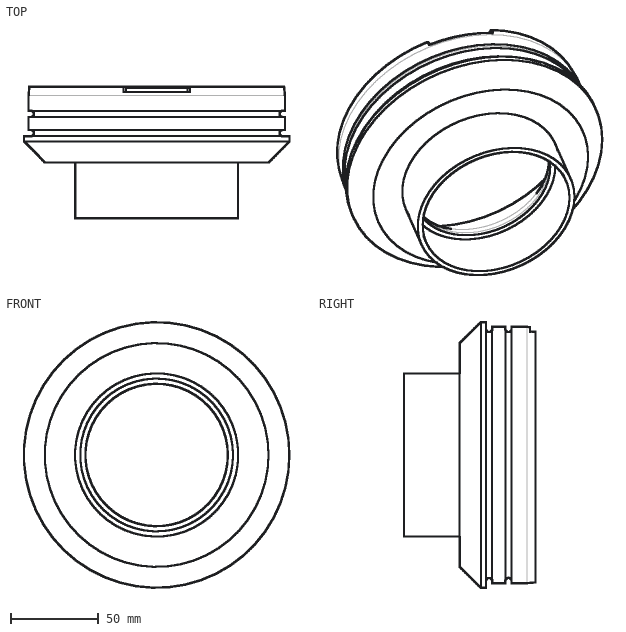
import cadquery as cq
import math

length = 75.0
tube_length = 31.6
bore_step_y = 28.9
cone_height = 12.1
flange_thickness = 3.0
flange_front = tube_length + cone_height
flange_back = flange_front + flange_thickness

tube_radius = 93.0 / 2
tube_bore_radius = 87.0 / 2
throat_radius = 81.0 / 2
shoulder_radius = 63.7
flange_radius = 151.4 / 2
body_radius = 146.3 / 2

rear_taper_length = 5.0
rear_edge_radius = 72.7

groove_width = 3.5
groove_depth = 3.0
rear_groove_setback = 15.5
groove_centers = [flange_back + groove_width / 2, length - rear_groove_setback]

rim_inner_radius = 70.9
funnel_half_angle = math.radians(36.5)
throat_round_radius = 8.3

notch_length = 3.0
notch_floor_radius = 70.4
notch_half_width = 19.1
notch_wall_angle = math.radians(33)


def make_body():
    """Revolve the tube, flange and funnel section about Y."""
    funnel_radius = throat_radius + throat_round_radius * (1 - math.cos(funnel_half_angle))
    funnel_y = length - (rim_inner_radius - funnel_radius) / math.tan(funnel_half_angle)
    throat_end_y = funnel_y - throat_round_radius * math.sin(funnel_half_angle)
    half_turn = funnel_half_angle / 2
    round_middle = (
        throat_radius + throat_round_radius * (1 - math.cos(half_turn)),
        throat_end_y + throat_round_radius * math.sin(half_turn),
    )
    section = (
        cq.Workplane("XY")
        .moveTo(tube_bore_radius, 0)
        .lineTo(tube_radius, 0)
        .lineTo(tube_radius, tube_length)
        .lineTo(shoulder_radius, tube_length)
        .lineTo(flange_radius, flange_front)
        .lineTo(flange_radius, flange_back)
        .lineTo(body_radius, flange_back)
        .lineTo(body_radius, length - rear_taper_length)
        .lineTo(rear_edge_radius, length)
        .lineTo(rim_inner_radius, length)
        .lineTo(funnel_radius, funnel_y)
        .threePointArc(round_middle, (throat_radius, throat_end_y))
        .lineTo(throat_radius, bore_step_y)
        .lineTo(tube_bore_radius, bore_step_y)
        .close()
    )
    return section.revolve(360, (0, 0), (0, 1))


def make_groove(center_y):
    """Ring cutter with straight sides and a semicircular bottom."""
    half_width = groove_width / 2
    bottom_radius = body_radius - groove_depth
    section = (
        cq.Workplane("XY")
        .moveTo(body_radius, center_y - half_width)
        .lineTo(bottom_radius + half_width, center_y - half_width)
        .threePointArc(
            (bottom_radius, center_y),
            (bottom_radius + half_width, center_y + half_width),
        )
        .lineTo(body_radius, center_y + half_width)
        .close()
    )
    return section.revolve(360, (0, 0), (0, 1))


def make_notch():
    """Cutter with sloping end walls and a floor concentric with the body."""
    top_z = flange_radius
    mouth_z = math.sqrt(body_radius**2 - notch_half_width**2)
    bottom_z = notch_floor_radius * math.cos(math.asin(notch_half_width / notch_floor_radius))
    top_half_width = notch_half_width + (top_z - mouth_z) * math.tan(notch_wall_angle)
    bottom_half_width = notch_half_width - (mouth_z - bottom_z) * math.tan(notch_wall_angle)
    wedge = (
        cq.Workplane("XZ", origin=(0, length, 0))
        .moveTo(-top_half_width, top_z)
        .lineTo(top_half_width, top_z)
        .lineTo(bottom_half_width, bottom_z)
        .lineTo(-bottom_half_width, bottom_z)
        .close()
        .extrude(notch_length)
    )
    core = cq.Workplane("XZ", origin=(0, length, 0)).circle(notch_floor_radius).extrude(notch_length)
    return wedge.cut(core)


result = make_body()
for groove_center in groove_centers:
    result = result.cut(make_groove(groove_center))
result = result.cut(make_notch())